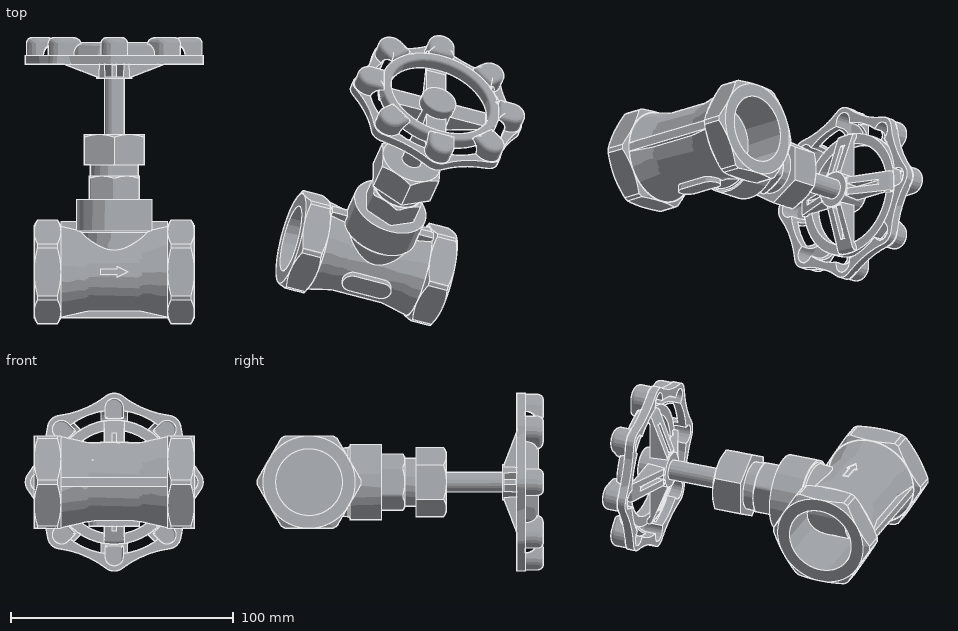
import cadquery as cq
import math


clearance = 1.0

body_length = 72.0
nut_length = 12.0
nut_flats = 41.5
nut_corners_d = 46.74
bore_d = 30.0
waist_d = 35.6
waist_half_length = 12.0
flare_d = 41.0
flare_blend_radius = 5.0

rib_width = 4.0
rib_front_reach = 20.7
rib_back_reach = 22.7
pad_length = 22.7
pad_width = 9.0
pad_reach = 19.9

arrow_length = 12.2
arrow_head_length = 4.8
arrow_head_width = 4.9
arrow_shaft_width = 2.4
arrow_height = 0.3

plug_d = bore_d
plug_end = -3.2
well_d = 25.3
outlet_depth = 20.0

branch_root_d = 28.0
branch_top_d = 31.2
boss_d = 34.0
boss_base = 18.4
boss_top = 32.6
boss_step = 0.8
bonnet_hex_flats = 22.5
bonnet_hex_radius = 2.0
neck_d = 21.7
neck_base = 43.0
gland_base = 48.0
gland_top = 61.7
gland_flats = 27.0
stem_d = 9.0
chamfer_angle = 30.0
hex_flat_ratio = math.cos(math.pi / 6)

lobe_count = 8
lobe_spacing = 360.0 / lobe_count
rim_base = 93.2
rim_top = 97.2
rim_reach = 40.0
rim_valley_r = 35.7
rim_inner_r = 32.3
lobe_tip_r = 6.0
ring_outer_r = 28.0
ring_inner_r = 23.4
ring_top = 103.1
ring_edge_radius = 1.8
knob_top = 105.3
knob_r = 6.0
knob_pitch_r = 33.5
knob_edge_radius = 2.7
knob_inner_r = 27.2
knob_wall = 1.9
hollow_inner_r = 28.4
hollow_edge_radius = 1.0
arm_arch_r = 5.3

spoke_count = 4
hub_d = 16.0
hub_base = 86.9
hub_top = 100.6
hub_edge_radius = 1.0
spoke_foot = 87.6
spoke_rim_r = 22.5
spoke_top = 95.7
spoke_end_r = 27.8
spoke_end_radius = 1.5
spoke_face_width = 8.2
spoke_root_width = 9.2
groove_width = 2.2
groove_end_r = 22.0
groove_floor = 94.0


def along_stem(shape):
    """Turn a shape built along +Z so that it runs along +Y."""
    return shape.rotate((0, 0, 0), (1, 0, 0), -90)


def disc(diameter, base, top):
    return cq.Workplane("XY").workplane(offset=base).circle(diameter / 2).extrude(top - base)


def tube(outer_r, inner_r, base, top):
    return disc(2 * outer_r, base, top).cut(disc(2 * inner_r, base, top))


def hexagon(flats, length):
    """Hexagonal bar along +Z with corners on X."""
    return cq.Workplane("XY").polygon(6, flats / hex_flat_ratio).extrude(length)


def turn_down(bar, flats, corners_d, length, chamfer_base):
    """Turn a hexagonal bar to corners_d and chamfer its top, and optionally its base, down to the flats."""
    end_r = flats / 2
    full_r = corners_d / 2
    drop = (full_r - end_r) * math.tan(math.radians(chamfer_angle))
    base = [(0, 0), (end_r, 0), (full_r, drop)] if chamfer_base else [(0, 0), (full_r, 0)]
    outline = base + [(full_r, length - drop), (end_r, length), (0, length)]
    return bar.intersect(cq.Workplane("XZ").polyline(outline).close().revolve(360, (0, 0, 0), (0, 1, 0)))


def stem_hex(flats, base, top, corner_radius=0):
    """Hexagon about the stem with flats facing X, chamfered at the top."""
    bar = hexagon(flats, top - base)
    if corner_radius > 0:
        bar = bar.edges("|Z").fillet(corner_radius)
    bar = turn_down(bar, flats, flats / hex_flat_ratio, top - base, False)
    return bar.rotate((0, 0, 0), (0, 0, 1), 90).translate((0, 0, base))


def pipe_nut(start_x):
    nut = turn_down(hexagon(nut_flats, nut_length), nut_flats, nut_corners_d, nut_length, True)
    nut = nut.rotate((0, 0, 0), (0, 0, 1), 90).rotate((0, 0, 0), (0, 1, 0), 90)
    return nut.translate((start_x, 0, 0))


def flared_barrel():
    half_gap = body_length / 2 - nut_length
    waist_r = waist_d / 2
    flare_r = flare_d / 2
    barrel = (
        cq.Workplane("XY")
        .moveTo(-half_gap, 0)
        .lineTo(-half_gap, flare_r)
        .lineTo(-waist_half_length, waist_r)
        .lineTo(waist_half_length, waist_r)
        .lineTo(half_gap, flare_r)
        .lineTo(half_gap, 0)
        .close()
        .revolve(360, (0, 0, 0), (1, 0, 0))
    )
    inside_nuts = cq.selectors.BoxSelector(
        (-half_gap + clearance, -flare_d, -flare_d), (half_gap - clearance, flare_d, flare_d)
    )
    return barrel.edges(inside_nuts).edges("%CIRCLE").fillet(flare_blend_radius)


def body_ribs():
    gap = body_length - 2 * nut_length
    return (
        cq.Workplane("XY")
        .box(gap, rib_front_reach + rib_back_reach, rib_width)
        .translate((0, (rib_back_reach - rib_front_reach) / 2, 0))
    )


def body_pad():
    return cq.Workplane("XY").slot2D(pad_length, pad_width).extrude(-pad_reach)


def flow_arrow():
    tip = arrow_length / 2
    neck = tip - arrow_head_length
    shaft = arrow_shaft_width / 2
    head = arrow_head_width / 2
    outline = [(-tip, -shaft), (neck, -shaft), (neck, -head), (tip, 0),
               (neck, head), (neck, shaft), (-tip, shaft)]
    arrow = cq.Workplane("XY").polyline(outline).close().extrude(waist_d)
    skin = cq.Workplane("YZ").circle(waist_d / 2 + arrow_height).extrude(arrow_length, both=True)
    return arrow.intersect(skin)


def inlet_cavity():
    """Bore from -X, up to the seat plug, with the half well below the plug."""
    end_x = -body_length / 2
    bore = cq.Workplane("YZ").workplane(offset=end_x).circle(bore_d / 2).extrude(-end_x)
    plug = along_stem(disc(plug_d, plug_end, bore_d))
    bore_reach = cq.Workplane("YZ").circle(bore_d / 2).extrude(body_length, both=True)
    well = along_stem(disc(well_d, -bore_d / 2, plug_end)).intersect(bore_reach)
    return bore.cut(plug).union(well)


def outlet_cavity():
    return (
        cq.Workplane("YZ").workplane(offset=body_length / 2)
        .circle(bore_d / 2).extrude(-outlet_depth)
    )


def bonnet():
    step_base = boss_base - boss_step
    branch = (
        cq.Workplane("XY").circle(branch_root_d / 2)
        .workplane(offset=step_base).circle(branch_top_d / 2).loft()
    )
    step = (
        cq.Workplane("XY").workplane(offset=step_base).circle(branch_top_d / 2)
        .workplane(offset=boss_step).circle(boss_d / 2 - boss_step).loft()
    )
    boss = disc(boss_d, boss_base, boss_top)
    bonnet_hex = stem_hex(bonnet_hex_flats, boss_top, neck_base, bonnet_hex_radius)
    neck = disc(neck_d, neck_base, gland_base)
    gland = stem_hex(gland_flats, gland_base, gland_top)
    stem = disc(stem_d, gland_top, hub_base)
    stack = branch.union(step).union(boss).union(bonnet_hex).union(neck).union(gland)
    return stack.union(stem)


def polar(radius, angle):
    return (radius * math.cos(math.radians(angle)), radius * math.sin(math.radians(angle)))


def rim():
    """Lobed plate: convex lobe tips joined tangentially by concave arcs."""
    half = lobe_spacing / 2
    tip_centre_r = rim_reach - lobe_tip_r
    offset = rim_valley_r - lobe_tip_r
    valley_centre_r = (tip_centre_r ** 2 - offset ** 2) / (
        2 * (tip_centre_r * math.cos(math.radians(half)) - offset)
    )
    valley_x, valley_y = polar(valley_centre_r, half)
    lean = math.atan2(valley_y, valley_x - tip_centre_r)
    tangent_x = tip_centre_r + lobe_tip_r * math.cos(lean)
    tangent_y = lobe_tip_r * math.sin(lean)
    tangent_r = math.hypot(tangent_x, tangent_y)
    tangent_angle = math.degrees(math.atan2(tangent_y, tangent_x))

    outline = cq.Workplane("XY").workplane(offset=rim_base).moveTo(*polar(tangent_r, -tangent_angle))
    for i in range(lobe_count):
        angle = i * lobe_spacing
        outline = outline.threePointArc(polar(rim_reach, angle), polar(tangent_r, angle + tangent_angle))
        outline = outline.threePointArc(
            polar(rim_valley_r, angle + half),
            polar(tangent_r, angle + lobe_spacing - tangent_angle),
        )
    plate = outline.close().extrude(rim_top - rim_base)
    return plate.cut(disc(2 * rim_inner_r, rim_base, rim_top))


def ring():
    return tube(ring_outer_r, ring_inner_r, rim_top, ring_top).faces(">Z").edges().fillet(ring_edge_radius)


def radial_pill(inner_r, half_width, base, top):
    """Block reaching from inner_r outwards, with a round end about the knob centre."""
    return (
        cq.Workplane("XY").workplane(offset=base)
        .moveTo(inner_r, -half_width)
        .lineTo(knob_pitch_r, -half_width)
        .threePointArc((knob_pitch_r + half_width, 0), (knob_pitch_r, half_width))
        .lineTo(inner_r, half_width)
        .close()
        .extrude(top - base)
    )


def knob():
    """Grip knob whose inner side arches over the gap to reach the ring."""
    block = radial_pill(knob_inner_r, knob_r, rim_top, knob_top)
    block = block.faces(">Z").edges().fillet(knob_edge_radius)
    arch = (
        cq.Workplane("XZ").center(rim_inner_r - arm_arch_r, rim_top).circle(arm_arch_r)
        .revolve(360, (arm_arch_r - rim_inner_r, 0, 0), (arm_arch_r - rim_inner_r, 1, 0))
    )
    return block.cut(arch)


def knob_hollow():
    hollow = radial_pill(hollow_inner_r, knob_r - knob_wall, rim_base, knob_top - knob_edge_radius)
    return hollow.faces(">Z").edges().fillet(hollow_edge_radius)


def spoke():
    """Tapered spoke along +X: its lower face slopes from hub to ring, its end stands up into the ring."""
    hub_r = hub_d / 2
    slope = (rim_base - spoke_foot) / (spoke_rim_r - hub_r)
    end_z = spoke_foot + slope * (spoke_end_r - hub_r)
    overshoot_r = spoke_end_r + clearance
    foot_r = (ring_inner_r + ring_outer_r) / 2
    ring_joint = (rim_top + ring_top) / 2
    profile = [(0, spoke_foot), (hub_r, spoke_foot), (overshoot_r, end_z + slope * clearance),
               (overshoot_r, ring_joint), (foot_r, ring_joint), (foot_r, rim_top),
               (ring_inner_r, spoke_top), (0, spoke_top)]
    side = cq.Workplane("XZ").polyline(profile).close().extrude(spoke_root_width, both=True)
    face = spoke_face_width / 2
    root = spoke_root_width / 2
    section = (
        cq.Workplane("YZ")
        .polyline([(-face, spoke_foot), (face, spoke_foot), (root, spoke_top), (root, ring_joint),
                   (-root, ring_joint), (-root, spoke_top)])
        .close()
        .extrude(overshoot_r)
    )
    arm = side.intersect(section).intersect(disc(2 * spoke_end_r, hub_base, ring_joint))
    arm = arm.edges(cq.selectors.NearestToPointSelector((spoke_end_r, 0, end_z))).fillet(spoke_end_radius)
    groove = (
        cq.Workplane("XY").workplane(offset=hub_base)
        .center((hub_r + groove_end_r) / 2, 0)
        .rect(groove_end_r - hub_r, groove_width)
        .extrude(groove_floor - hub_base)
    )
    return arm.cut(groove)


def around(shape, index, count):
    return shape.rotate((0, 0, 0), (0, 0, 1), index * 360.0 / count)


def handwheel():
    grips = rim().union(ring())
    for i in range(lobe_count):
        grips = grips.union(around(knob(), i, lobe_count))
    for i in range(lobe_count):
        grips = grips.cut(around(knob_hollow(), i, lobe_count))
    spider = disc(hub_d, hub_base, hub_top).faces(">Z").edges().fillet(hub_edge_radius)
    for i in range(spoke_count):
        spider = spider.union(around(spoke(), i, spoke_count))
    return grips.union(spider)


def valve_body():
    body = flared_barrel().union(body_ribs()).union(body_pad()).union(flow_arrow())
    body = body.union(pipe_nut(-body_length / 2)).union(pipe_nut(body_length / 2 - nut_length))
    body = body.union(along_stem(bonnet()))
    return body.cut(inlet_cavity()).cut(outlet_cavity())


result = valve_body().union(along_stem(handwheel()))